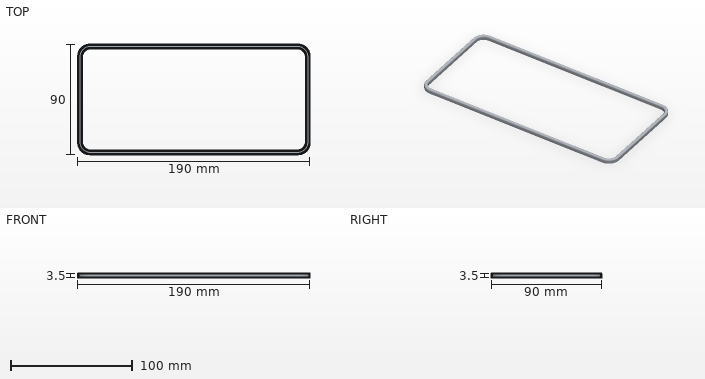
import cadquery as cq

LENGTH = 190.0
WIDTH = 90.0
HEIGHT = 3.5
WALL = 3.0
CORNER_RADIUS = 10.0
TOP_FILLET = 1.0


def rounded_block(inset):
    """Full-height block with rounded corners, set in from the outer outline."""
    return (
        cq.Workplane("XY")
        .rect(LENGTH - 2 * inset, WIDTH - 2 * inset)
        .extrude(HEIGHT)
        .edges("|Z")
        .fillet(CORNER_RADIUS - inset)
    )


frame = rounded_block(0).cut(rounded_block(WALL))

result = frame.faces(">Z").edges().fillet(TOP_FILLET)